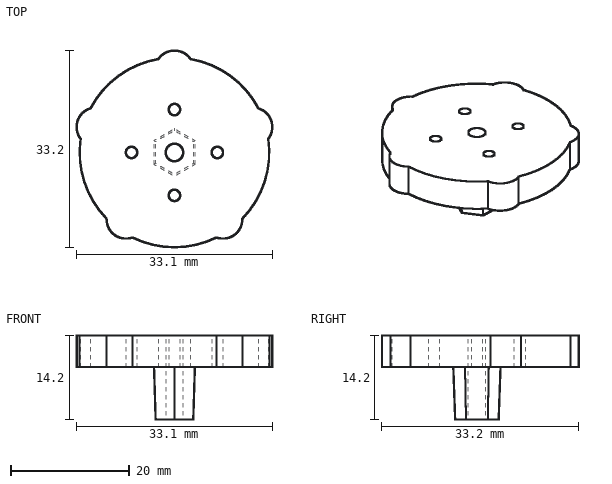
import cadquery as cq
import math

disc_radius = 16.02
disc_thickness = 5.38
lobe_count = 5
lobe_radius = 3.3
lobe_center_radius = 13.92
first_lobe_angle = 90

total_height = 14.22
shaft_length = total_height - disc_thickness
shaft_top_corners = 8.0
shaft_tip_corners = 7.38

center_hole_diameter = 2.92
pin_hole_diameter = 1.9
pin_hole_count = 4
pin_circle_radius = 7.25


def lobed_disc():
    """Round plate with its underside at Z = 0 and lobes spaced around the rim."""
    disc = cq.Workplane("XY").circle(disc_radius).extrude(disc_thickness)
    lobes = (
        cq.Workplane("XY")
        .polarArray(lobe_center_radius, first_lobe_angle, 360, lobe_count)
        .circle(lobe_radius)
        .extrude(disc_thickness)
    )
    return disc.union(lobes)


def hexagon_points(across_corners):
    """Hexagon corners, with two corners on the Y axis."""
    radius = across_corners / 2
    angles = [math.radians(90 + 60 * i) for i in range(6)]
    return [(radius * math.cos(a), radius * math.sin(a)) for a in angles]


def hex_shaft():
    """Hexagonal shaft that narrows from the disc to its tip."""
    return (
        cq.Workplane("XY")
        .polyline(hexagon_points(shaft_top_corners))
        .close()
        .workplane(offset=-shaft_length)
        .polyline(hexagon_points(shaft_tip_corners))
        .close()
        .loft(ruled=True, combine=True)
    )


def through_holes():
    """Cutters for the center hole and the ring of pin holes."""
    base = cq.Workplane("XY").workplane(offset=-shaft_length)
    center_hole = base.circle(center_hole_diameter / 2).extrude(total_height)
    pin_holes = (
        base.polarArray(pin_circle_radius, 0, 360, pin_hole_count)
        .circle(pin_hole_diameter / 2)
        .extrude(total_height)
    )
    return center_hole.union(pin_holes)


result = lobed_disc().union(hex_shaft()).cut(through_holes())